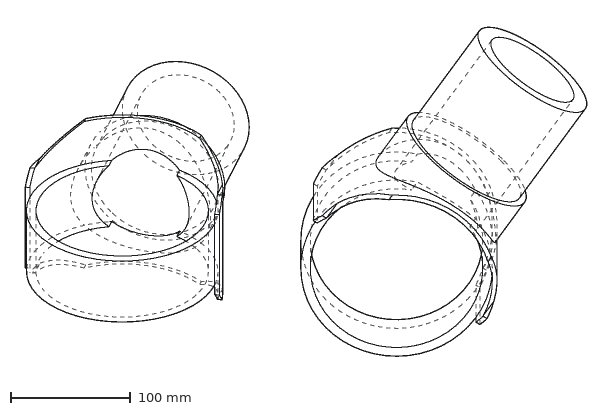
import cadquery as cq

ring_outer_radius = 80.0
ring_wall = 8.0
ring_height = 60.0

saddle_wall = 4.0
saddle_height = 144.0
saddle_flat_half_width = 50.0
saddle_shoulder_half_width = 79.0
ear_height = 103.0
ear_chamfer = 12.0

pipe_radius = 55.0
pipe_end_y = 202.0
collar_radius = 60.5
collar_end_y = 104.0
bore_radius = 42.0

saddle_outer_radius = ring_outer_radius + saddle_wall
ring_inner_radius = ring_outer_radius - ring_wall


def cylinder_z(radius, height):
    """Cylinder on the Z axis, centred on the XY plane."""
    return cq.Workplane("XY", origin=(0, 0, -height / 2)).circle(radius).extrude(height)


def cylinder_y(radius, end_y):
    """Cylinder on the Y axis, from the ring axis out to end_y."""
    return cq.Workplane("XZ").circle(radius).extrude(-end_y)


def make_ring():
    return cylinder_z(ring_outer_radius, ring_height).cut(cylinder_z(ring_inner_radius, ring_height))


def saddle_front_outline():
    """Prism along Y that slopes the corners of the saddle down to the ears."""
    top = saddle_height / 2
    ear_top = ear_height / 2
    upper_right = [
        (saddle_outer_radius, ear_top),
        (saddle_shoulder_half_width, ear_top),
        (saddle_flat_half_width, top),
    ]
    upper_left = [(-x, z) for x, z in reversed(upper_right)]
    lower_half = [(-x, -z) for x, z in upper_right + upper_left]
    outline = upper_right + upper_left + lower_half
    return cq.Workplane("XZ").polyline(outline).close().extrude(-saddle_outer_radius)


def saddle_side_outline():
    """Prism along X, starting at Y = 0, that chamfers the ends of the ears."""
    top = saddle_height / 2
    ear_top = ear_height / 2
    upper = [
        (0, ear_top - ear_chamfer),
        (ear_chamfer, ear_top),
        (ear_chamfer, top),
        (saddle_outer_radius, top),
    ]
    lower = [(y, -z) for y, z in reversed(upper)]
    return cq.Workplane("YZ").polyline(upper + lower).close().extrude(saddle_outer_radius, both=True)


def make_saddle_blank():
    """Saddle as a solid half cylinder, before its inside is hollowed out."""
    blank = cylinder_z(saddle_outer_radius, saddle_height)
    return blank.intersect(saddle_front_outline()).intersect(saddle_side_outline())


def make_branch():
    return cylinder_y(pipe_radius, pipe_end_y).union(cylinder_y(collar_radius, collar_end_y))


saddle_and_branch = make_saddle_blank().union(make_branch())
saddle_and_branch = saddle_and_branch.cut(cylinder_z(ring_outer_radius, saddle_height))
body = saddle_and_branch.union(make_ring())

result = body.cut(cylinder_y(bore_radius, pipe_end_y))